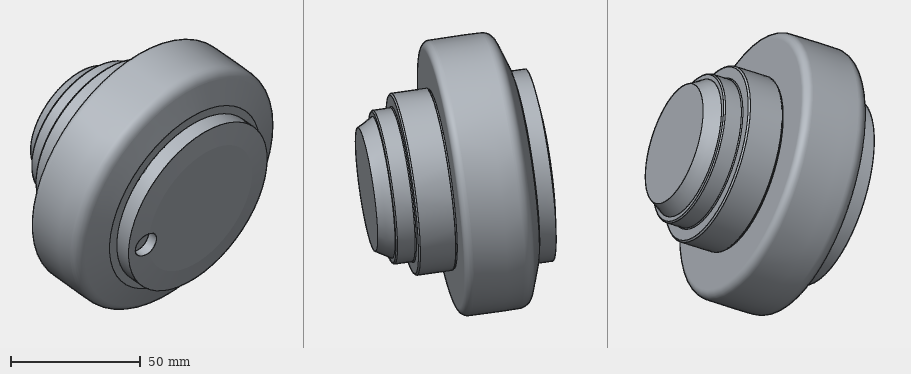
import cadquery as cq
import math


nose_radius = 24.1
nose_taper = math.radians(30)
flange_x = 6.1
flange_radius = 60.0 / 2
flange_chamfer = 0.5
flange_flare = 0.4

body_x = 14.0
body_radius = 71.0 / 2
body_chamfer = 0.6
body_end_x = 28.5

left_neck_radius = 70.0 / 2
right_neck_radius = 71.6 / 2

wheel_x = 29.2
wheel_end_x = 60.3
wheel_radius = 53.8
crown_rise = 0.1
left_round = 3.2
right_round = 4.7
right_round_x = 52.2
bevel_angle = math.radians(70)

cap_x = 61.1
cap_taper_x = 67.5
cap_end_x = 69.0
cap_radius = 75.0 / 2
cap_end_radius = 28.0

pocket_diameter = 10.5
pocket_depth = 4.3
pocket_offset = 29.1


def round_point(angle):
    """Point on the right-hand wheel round, turned by angle from the tread."""
    return (
        right_round_x + right_round * math.sin(angle),
        tread_edge_radius - right_round * (1 - math.cos(angle)),
    )


tread_edge_radius = wheel_radius - crown_rise
tread_start_x = wheel_x + left_round
tread_middle_x = (tread_start_x + right_round_x) / 2
left_round_inset = left_round * (1 - math.sqrt(0.5))
bevel_start = round_point(bevel_angle)
bevel_end_radius = bevel_start[1] - (wheel_end_x - bevel_start[0]) * math.tan(bevel_angle)

nose_base_radius = nose_radius + flange_x * math.tan(nose_taper)

profile = (
    cq.Workplane("XY")
    .moveTo(0, 0)
    .lineTo(0, nose_radius)
    .lineTo(flange_x, nose_base_radius)
    .lineTo(flange_x, flange_radius - flange_chamfer)
    .lineTo(flange_x + flange_chamfer, flange_radius)
    .lineTo(body_x - flange_flare, flange_radius)
    .lineTo(body_x, flange_radius + flange_flare)
    .lineTo(body_x, body_radius - body_chamfer)
    .lineTo(body_x + body_chamfer, body_radius)
    .lineTo(body_end_x, body_radius)
    .lineTo(body_end_x, left_neck_radius)
    .lineTo(wheel_x, left_neck_radius)
    .lineTo(wheel_x, tread_edge_radius - left_round)
    .threePointArc(
        (wheel_x + left_round_inset, tread_edge_radius - left_round_inset),
        (tread_start_x, tread_edge_radius),
    )
    .threePointArc((tread_middle_x, wheel_radius), (right_round_x, tread_edge_radius))
    .threePointArc(round_point(bevel_angle / 2), bevel_start)
    .lineTo(wheel_end_x, bevel_end_radius)
    .lineTo(wheel_end_x, right_neck_radius)
    .lineTo(cap_x, right_neck_radius)
    .lineTo(cap_x, cap_radius)
    .lineTo(cap_taper_x, cap_radius)
    .lineTo(cap_end_x, cap_end_radius)
    .lineTo(cap_end_x, 0)
    .close()
)
roller = profile.revolve(360, (0, 0, 0), (1, 0, 0))

pocket = (
    cq.Workplane("YZ", origin=(cap_end_x - pocket_depth, -pocket_offset, 0))
    .circle(pocket_diameter / 2)
    .extrude(pocket_depth)
)

result = roller.cut(pocket)